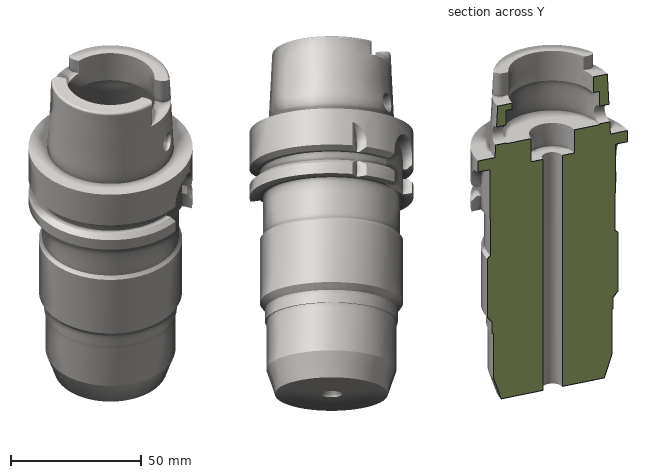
import cadquery as cq
import math


taper_length = 32.0
body_length = 105.0

taper_base_radius = 24.32
taper_ratio = 9.98
rim_fillet = 1.0

flange_radius = 31.5
flange_length = 26.0
groove_radius = 27.5
groove_lip_radius = 29.4
groove_upper_edge_z = -14.5
groove_upper_wall_z = -16.1
groove_lower_wall_z = -19.9
groove_lower_edge_z = -21.5

neck_radius = 26.25
sleeve_radius = 27.5
sleeve_top_z = -42.0
sleeve_top_chamfer_length = 1.2
sleeve_bottom_z = -68.5
collar_radius = 25.5
collar_top_z = -71.0
collar_bottom_z = -76.0
nose_radius = 25.0
nose_end_z = -95.2
tip_radius = 21.7

bore_radius = 17.0
bore_depth = 12.8
undercut_radius = 19.5
undercut_floor_z = 5.0
counterbore_radius = 9.0
counterbore_depth = 10.0
coolant_hole_radius = 4.0

drive_slot_width = 12.54
shallow_slot_depth = 5.8
deep_slot_depth = 10.0
drive_slot_corner_radius = 3.0
drive_lug_half_length = 20.9

cross_hole_diameter = 7.5
cross_hole_z = 9.1

keyway_width = 16.0
keyway_top_z = -5.0
keyway_floor_x = 26.5
notch_wall_offset = 20.15
notch_arc_radius = 8.0
notch_arc_centre_z = -12.0


def make_outer_body():
    """Revolved outer shape: taper, flange with groove, sleeve, collar, nose and tip."""
    taper_top_radius = taper_base_radius - taper_length / taper_ratio / 2
    profile = (
        cq.Workplane("XZ")
        .moveTo(0, taper_length)
        .lineTo(taper_top_radius, taper_length)
        .lineTo(taper_base_radius, 0)
        .lineTo(flange_radius, 0)
        .lineTo(flange_radius, groove_upper_edge_z)
        .lineTo(groove_lip_radius, groove_upper_wall_z)
        .lineTo(groove_radius, groove_upper_wall_z)
        .lineTo(groove_radius, groove_lower_wall_z)
        .lineTo(groove_lip_radius, groove_lower_wall_z)
        .lineTo(flange_radius, groove_lower_edge_z)
        .lineTo(flange_radius, -flange_length)
        .lineTo(neck_radius, -flange_length)
        .lineTo(neck_radius, sleeve_top_z)
        .lineTo(sleeve_radius, sleeve_top_z - sleeve_top_chamfer_length)
        .lineTo(sleeve_radius, sleeve_bottom_z)
        .lineTo(collar_radius, collar_top_z)
        .lineTo(collar_radius, collar_bottom_z)
        .lineTo(nose_radius, collar_bottom_z)
        .lineTo(nose_radius, nose_end_z)
        .lineTo(tip_radius, -body_length)
        .lineTo(0, -body_length)
        .close()
    )
    return profile.revolve(360, (0, 0, 0), (0, 1, 0))


def cylinder(radius, bottom_z, top_z):
    """Cylinder on the part axis between two heights."""
    return cq.Workplane("XY").workplane(offset=bottom_z).circle(radius).extrude(top_z - bottom_z)


def cut_bores(body):
    """Rim bore, wider undercut below it, counterbore and coolant hole through the part."""
    bore_end_z = taper_length - bore_depth
    body = body.cut(cylinder(bore_radius, bore_end_z, taper_length))
    body = body.cut(cylinder(undercut_radius, undercut_floor_z, bore_end_z))
    body = body.cut(cylinder(counterbore_radius, undercut_floor_z - counterbore_depth, undercut_floor_z))
    return body.cut(cylinder(coolant_hole_radius, -body_length, undercut_floor_z))


def round_rim(body):
    """Round the outer edge of the taper's end face."""
    return body.faces(">Z").edges().fillet(rim_fillet)


def cut_drive_slot(body, side, depth):
    """Slot through the rim wall on the given X side, opening wide beyond its rounded lug corners."""
    half_width = drive_slot_width / 2
    corner_centre_x = drive_lug_half_length - drive_slot_corner_radius
    corner_centre_y = half_width + drive_slot_corner_radius
    arc_shift = drive_slot_corner_radius * math.sqrt(0.5)
    half_slot = (
        cq.Workplane("XY")
        .workplane(offset=taper_length - depth)
        .lineTo(0, half_width)
        .lineTo(corner_centre_x, half_width)
        .threePointArc(
            (corner_centre_x + arc_shift, corner_centre_y - arc_shift),
            (drive_lug_half_length, corner_centre_y),
        )
        .lineTo(drive_lug_half_length, taper_base_radius)
        .lineTo(taper_base_radius, taper_base_radius)
        .lineTo(taper_base_radius, 0)
        .close()
        .extrude(depth)
    )
    slot = half_slot.union(half_slot.mirror("XZ"))
    if side < 0:
        slot = slot.mirror("YZ")
    return body.cut(slot)


def cut_cross_hole(body):
    """Radial hole along X through both taper walls."""
    drill = (
        cq.Workplane("YZ")
        .center(0, cross_hole_z)
        .circle(cross_hole_diameter / 2)
        .extrude(taper_base_radius, both=True)
    )
    return body.cut(drill)


def cut_keyway(body, side):
    """Round-topped flat-bottomed keyway in the flange on the given X side."""
    half_width = keyway_width / 2
    arc_centre_z = keyway_top_z - half_width
    cutter = (
        cq.Workplane("YZ")
        .workplane(offset=side * keyway_floor_x)
        .moveTo(-half_width, -flange_length)
        .lineTo(-half_width, arc_centre_z)
        .threePointArc((0, keyway_top_z), (half_width, arc_centre_z))
        .lineTo(half_width, -flange_length)
        .close()
        .extrude(side * (flange_radius - keyway_floor_x))
    )
    return body.cut(cutter)


def cut_notch(body):
    """Corner notch in the flange at -X +Y, with a quarter-round upper end."""
    arc_centre_y = notch_wall_offset + notch_arc_radius
    arc_shift = notch_arc_radius * math.sqrt(0.5)
    cutter = (
        cq.Workplane("YZ")
        .workplane(offset=-notch_wall_offset)
        .moveTo(notch_wall_offset, -flange_length)
        .lineTo(notch_wall_offset, notch_arc_centre_z)
        .threePointArc(
            (arc_centre_y - arc_shift, notch_arc_centre_z + arc_shift),
            (arc_centre_y, notch_arc_centre_z + notch_arc_radius),
        )
        .lineTo(arc_centre_y, -flange_length)
        .close()
        .extrude(notch_wall_offset - flange_radius)
    )
    return body.cut(cutter)


result = make_outer_body()
result = round_rim(result)
result = cut_bores(result)
result = cut_drive_slot(result, -1, shallow_slot_depth)
result = cut_drive_slot(result, 1, deep_slot_depth)
result = cut_cross_hole(result)
for keyway_side in (-1, 1):
    result = cut_keyway(result, keyway_side)
result = cut_notch(result)